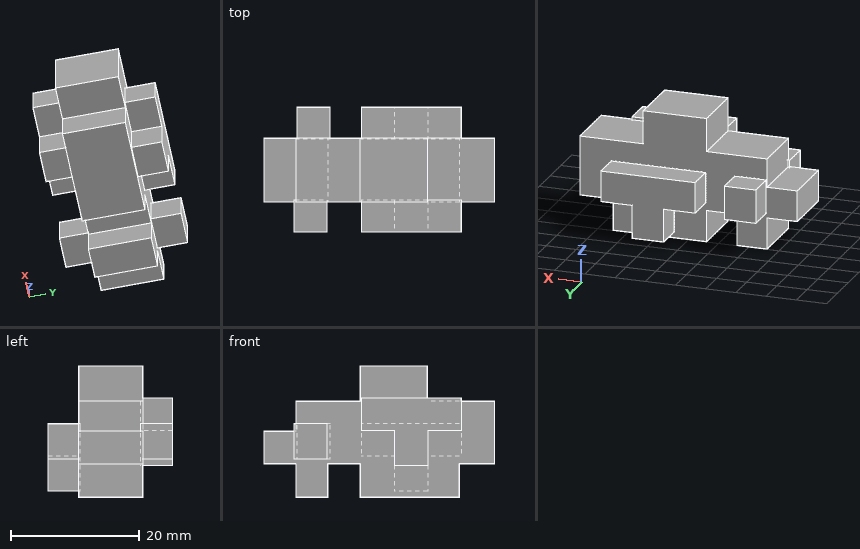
import cadquery as cq

length = 36.0
height = 20.49
width = 10.0

foot_height = 5.2
nose_length = 5.0
nose_top = 10.3
deck_top = 15.0
small_foot_length = 5.0
main_foot_start = 15.0
main_foot_length = 15.5
block_length = 10.5

piece_thickness = 5.0
total_width = 19.48
near_overhang = 4.66
far_overhang = total_width - width - near_overhang

cell = 5.2
cube_height = 5.53
cube_bottom = 5.95
near_cube_start = 4.68
far_cube_start = 5.15

tee_length = 3 * cell
tee_height = 10.54
tee_bar_height = 5.07
tee_start = 15.2
near_tee_top = 15.49
far_tee_top = cube_bottom + cube_height

near_outer_face = -width / 2 - near_overhang
far_outer_face = width / 2 + far_overhang
far_inner_face = far_outer_face - piece_thickness


def box(start, size):
    """Box given by its lowest corner and its size along X, Y and Z."""
    return cq.Workplane("XY").box(*size, centered=False).translate(start)


def make_housing():
    """Stepped housing with a nose, a small foot, a long main foot and a full-width raised block."""
    small_foot_end = nose_length + small_foot_length
    main_foot_end = main_foot_start + main_foot_length
    block_end = main_foot_start + block_length
    outline = [
        (0, foot_height),
        (nose_length, foot_height),
        (nose_length, 0),
        (small_foot_end, 0),
        (small_foot_end, foot_height),
        (main_foot_start, foot_height),
        (main_foot_start, 0),
        (main_foot_end, 0),
        (main_foot_end, foot_height),
        (length, foot_height),
        (length, deck_top),
        (block_end, deck_top),
        (block_end, height),
        (main_foot_start, height),
        (main_foot_start, deck_top),
        (nose_length, deck_top),
        (nose_length, nose_top),
        (0, nose_top),
    ]
    return cq.Workplane("XZ").polyline(outline).close().extrude(width / 2, both=True)


def make_cube(start_x, start_y):
    """Small side cube."""
    return box((start_x, start_y, cube_bottom), (cell, piece_thickness, cube_height))


def make_tee(start_y, top):
    """T-shaped side piece with its stem hanging from the middle of its bar."""
    bar = box(
        (tee_start, start_y, top - tee_bar_height),
        (tee_length, piece_thickness, tee_bar_height),
    )
    stem = box(
        (tee_start + cell, start_y, top - tee_height),
        (cell, piece_thickness, tee_height),
    )
    return bar.union(stem)


side_pieces = [
    make_cube(near_cube_start, near_outer_face),
    make_cube(far_cube_start, far_inner_face),
    make_tee(near_outer_face, near_tee_top),
    make_tee(far_inner_face, far_tee_top),
]

housing = make_housing()
for piece in side_pieces:
    housing = housing.cut(piece)

result = cq.Compound.makeCompound([housing.val(), *[piece.val() for piece in side_pieces]])